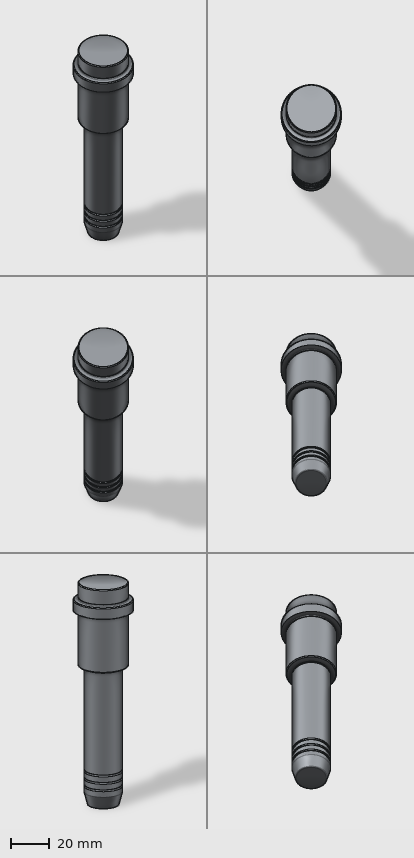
import cadquery as cq
import math

total_length = 120.0
collar_bottom = 105.0
collar_height = 6.0
shoulder_bottom = 75.0
tip_taper_height = 7.0

body_diameter = 26.0
collar_diameter = 31.0
shank_diameter = 20.0

edge_chamfer = 0.5
tip_edge_radius = 0.5
tip_taper_angle = 15.0

undercut_width = 1.0
undercut_depth = 0.5

groove_radius = 0.5
groove_width = 2 * groove_radius
oil_groove_count = 3
oil_groove_pitch = 4.0
lowest_oil_groove_bottom = 10.0


def cylinder(diameter, bottom, top):
    return cq.Workplane("XY").workplane(offset=bottom).circle(diameter / 2).extrude(top - bottom)


def make_shank():
    radius = shank_diameter / 2
    tip_radius = radius - tip_taper_height * math.tan(math.radians(tip_taper_angle))
    profile = (
        cq.Workplane("XZ")
        .lineTo(tip_radius, 0)
        .lineTo(radius, tip_taper_height)
        .lineTo(radius, shoulder_bottom)
        .lineTo(0, shoulder_bottom)
        .close()
    )
    shank = profile.revolve(360, (0, 0, 0), (0, 1, 0))
    return shank.faces("<Z").edges().fillet(tip_edge_radius)


def make_shoulder():
    shoulder = cylinder(body_diameter, shoulder_bottom, collar_bottom)
    return shoulder.faces("<Z").edges().chamfer(edge_chamfer)


def make_collar():
    collar = cylinder(collar_diameter, collar_bottom, collar_bottom + collar_height)
    return collar.faces(">Z").edges().chamfer(edge_chamfer)


def make_head():
    head = cylinder(body_diameter, collar_bottom + collar_height, total_length)
    return head.faces(">Z").edges().chamfer(edge_chamfer)


def undercut_cutter():
    bottom = shoulder_bottom - undercut_width
    ring = cylinder(shank_diameter, bottom, shoulder_bottom)
    core = cylinder(shank_diameter - 2 * undercut_depth, bottom, shoulder_bottom)
    return ring.cut(core)


def groove_cutter(diameter, bottom):
    """Ring of half-round section, built from two quarter arcs, with its flat side on the given diameter."""
    radius = diameter / 2
    middle = bottom + groove_radius
    arc_offset = groove_radius * math.sin(math.radians(45))
    profile = (
        cq.Workplane("XZ")
        .moveTo(radius, bottom)
        .threePointArc((radius - arc_offset, middle - arc_offset), (radius - groove_radius, middle))
        .threePointArc((radius - arc_offset, middle + arc_offset), (radius, bottom + groove_width))
        .close()
    )
    return profile.revolve(360, (0, 0, 0), (0, 1, 0), clean=False)


result = make_shank().union(make_shoulder()).union(make_collar()).union(make_head())
result = result.cut(undercut_cutter())

collar_groove_bottoms = [collar_bottom - groove_width, collar_bottom + collar_height]
for groove_bottom in collar_groove_bottoms:
    result = result.cut(groove_cutter(body_diameter, groove_bottom), clean=False)

for index in range(oil_groove_count):
    groove_bottom = lowest_oil_groove_bottom + index * oil_groove_pitch
    result = result.cut(groove_cutter(shank_diameter, groove_bottom), clean=False)